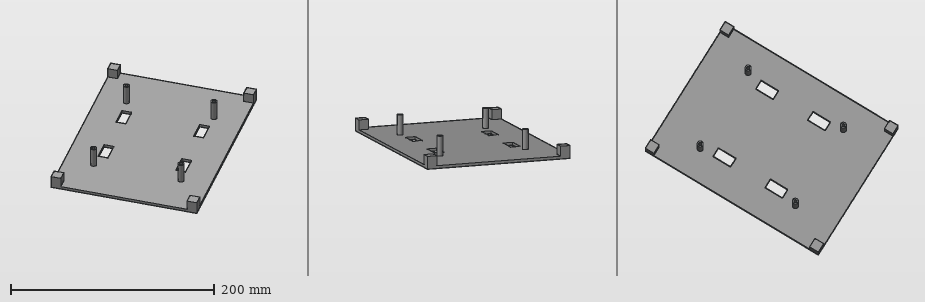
import cadquery as cq

plate_width = 150.0
plate_length = 200.0
plate_thickness = 3.0

block_side = 10.0
block_height = 10.0

standoff_diameter = 6.0
bore_diameter = 3.0
standoff_height = 20.0
standoff_spacing_x = 90.0
standoff_spacing_y = 110.0

window_width = 10.0
window_length = 20.0
window_spacing_x = 80.0
window_spacing_y = 60.0


def at_four_corners(height, spacing_x, spacing_y):
    """Place one point at each corner of a centred rectangle at the given height."""
    return (
        cq.Workplane("XY")
        .workplane(offset=height)
        .rect(spacing_x, spacing_y, forConstruction=True)
        .vertices()
    )


plate = cq.Workplane("XY").rect(plate_width, plate_length).extrude(plate_thickness)

windows = (
    at_four_corners(0, window_spacing_x, window_spacing_y)
    .rect(window_width, window_length)
    .extrude(plate_thickness)
)

corner_blocks = (
    at_four_corners(plate_thickness, plate_width - block_side, plate_length - block_side)
    .rect(block_side, block_side)
    .extrude(block_height)
)

standoffs = (
    at_four_corners(plate_thickness, standoff_spacing_x, standoff_spacing_y)
    .circle(standoff_diameter / 2)
    .circle(bore_diameter / 2)
    .extrude(standoff_height)
)

result = plate.cut(windows).union(corner_blocks).union(standoffs)